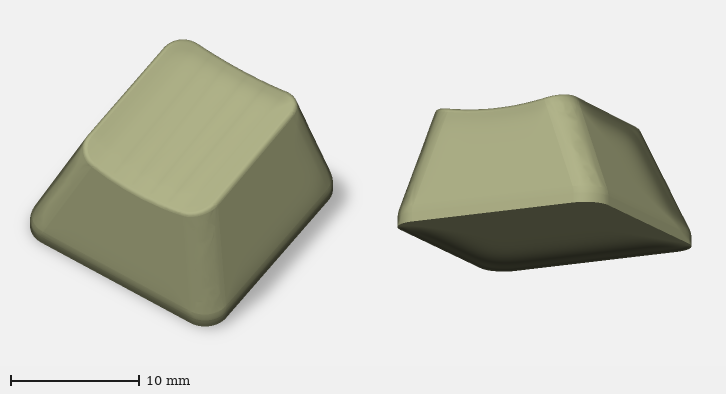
import cadquery as cq
import math

base_size = 18.16
corner_radius = 2.02

side_draft = 0.373
front_draft = 0.397
back_draft = 0.078
blank_height = 10.9

waist_start = 0.76
waist_end = 1.33
waist_middle = (waist_start + waist_end) / 2

dish_radius = 22.7
dish_floor_height = 8.4
dish_slope = 0.0206
dish_length = 54.48
rim_radius = 0.36


def leaned_height(height):
    """Height over which a wall has leaned in; parabolic in the waist, tangent to both walls."""
    if height <= waist_start:
        return 0.0
    if height < waist_end:
        return (height - waist_start) ** 2 / (2 * (waist_end - waist_start))
    return height - waist_middle


def keycap_section(height):
    """Rounded outline of the solid blank at one height."""
    lean = leaned_height(height)
    width = base_size - 2 * side_draft * lean
    depth = base_size - (front_draft + back_draft) * lean
    shift = (front_draft - back_draft) * lean / 2
    outline = cq.Sketch().rect(width, depth).vertices().fillet(corner_radius)
    return outline.moved(cq.Location(cq.Vector(0, shift, height)))


def loft_between(heights, ruled):
    sections = [keycap_section(height) for height in heights]
    return cq.Workplane("XY").placeSketch(*sections).loft(ruled=ruled)


def make_dish_cutter():
    tilt = math.degrees(math.atan(dish_slope))
    cutter = cq.Workplane("XZ").circle(dish_radius).extrude(dish_length / 2, both=True)
    lift = dish_floor_height + dish_radius
    return cutter.rotate((0, 0, 0), (1, 0, 0), tilt).translate((0, 0, lift))


skirt = loft_between([0, waist_start], ruled=True)
waist = loft_between([waist_start, waist_middle, waist_end], ruled=False)
walls = loft_between([waist_end, blank_height], ruled=True)

dished_walls = walls.cut(make_dish_cutter())
dished_walls = dished_walls.faces(">Z").edges().fillet(rim_radius)

result = skirt.union(waist).union(dished_walls)